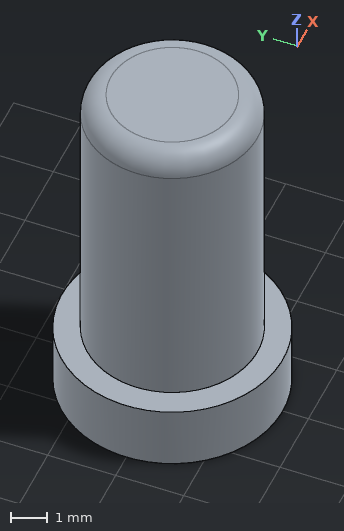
import cadquery as cq

flange_diameter = 6.5
flange_height = 2.0
pin_diameter = 5.0
total_height = 11.0
tip_fillet_radius = 0.7

pin_height = total_height - flange_height


def make_flange():
    """Round flange standing on the XY plane."""
    return cq.Workplane("XY").circle(flange_diameter / 2).extrude(flange_height)


def make_pin():
    """Cylindrical pin on top of the flange, with a rounded tip."""
    pin = cq.Workplane("XY").workplane(offset=flange_height).circle(pin_diameter / 2).extrude(pin_height)
    return pin.faces(">Z").edges().fillet(tip_fillet_radius)


result = make_flange().union(make_pin())